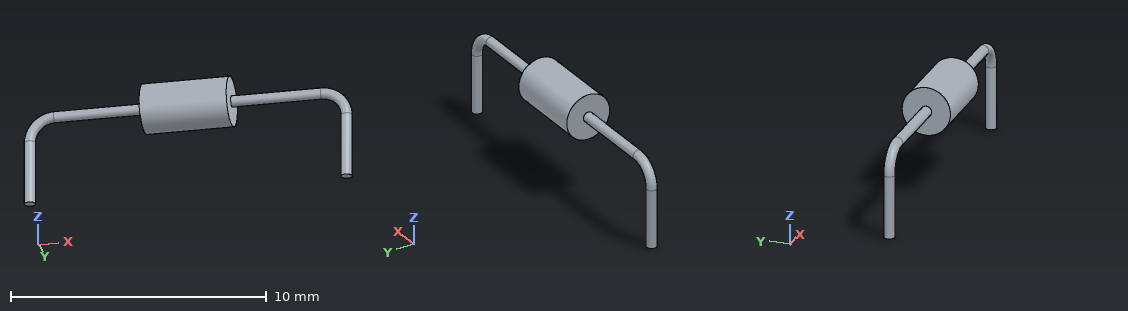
import cadquery as cq

body_diameter = 2.0
body_length = 3.5
wire_diameter = 0.45
lead_pitch = 12.7
bend_radius = 1.0
overall_height = 4.6

axis_height = body_diameter / 2
leg_tip_height = body_diameter - overall_height
leg_length = axis_height - bend_radius - leg_tip_height
leg_x = lead_pitch / 2
bend_start_x = leg_x - bend_radius


def make_body():
    """Solid cylinder along X, centred on the wire."""
    return (
        cq.Workplane("YZ", origin=(-body_length / 2, 0, axis_height))
        .circle(body_diameter / 2)
        .extrude(body_length)
    )


def make_straight_wire():
    """Horizontal wire running through the body, up to both bends."""
    return (
        cq.Workplane("YZ", origin=(-bend_start_x, 0, axis_height))
        .circle(wire_diameter / 2)
        .extrude(2 * bend_start_x)
    )


def make_bent_leg():
    """Quarter-turn bend and vertical leg at the +X end."""
    leg = (
        cq.Workplane("XY", origin=(leg_x, 0, leg_tip_height))
        .circle(wire_diameter / 2)
        .extrude(leg_length)
    )
    bend = (
        cq.Workplane("YZ", origin=(bend_start_x, 0, axis_height))
        .circle(wire_diameter / 2)
        .revolve(90, (0, -bend_radius, 0), (1, -bend_radius, 0))
    )
    return leg.union(bend)


right_leg = make_bent_leg()
left_leg = right_leg.mirror("YZ")
result = make_body().union(make_straight_wire()).union(right_leg).union(left_leg)